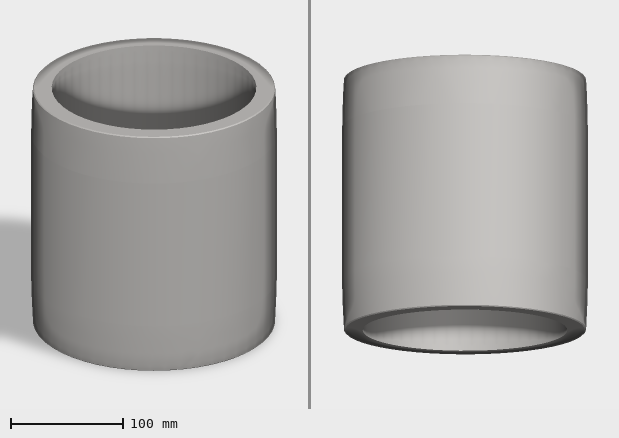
import cadquery as cq

length = 228.5
outer_diameter = 219.0
end_diameter = 215.8
bore_diameter = 182.5
crown_length = 44.5
edge_chamfer = 1.0

outer_radius = outer_diameter / 2
end_radius = end_diameter / 2
bore_radius = bore_diameter / 2
half_length = length / 2
half_straight = half_length - crown_length

radial_drop = outer_radius - end_radius
crown_radius = (crown_length**2 + radial_drop**2) / (2 * radial_drop)
mid_height = crown_length / 2
mid_radius = outer_radius - crown_radius + (crown_radius**2 - mid_height**2) ** 0.5

profile = (
    cq.Workplane("XZ")
    .moveTo(bore_radius, -half_length)
    .lineTo(end_radius, -half_length)
    .threePointArc((mid_radius, -half_straight - mid_height), (outer_radius, -half_straight))
    .lineTo(outer_radius, half_straight)
    .threePointArc((mid_radius, half_straight + mid_height), (end_radius, half_length))
    .lineTo(bore_radius, half_length)
    .close()
)
sleeve = profile.revolve(360, (0, 0, 0), (0, 1, 0))

result = sleeve.faces("<Z or >Z").edges(cq.selectors.RadiusNthSelector(-1)).chamfer(edge_chamfer)